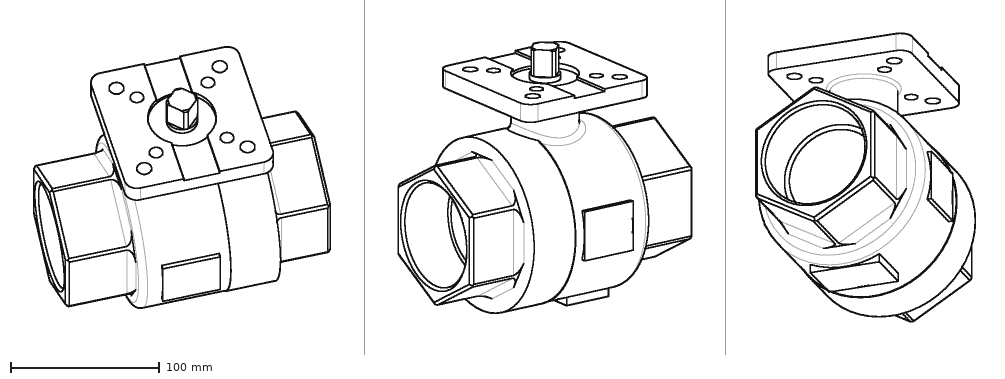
import cadquery as cq
import math


length = 185.0
body_diameter = 121.0
top_z = 117.0

barrel_diameter = 120.0
body_front_y = -45.3
body_back_y = 52.5
collar_front_y = 18.0
cast_radius = 5.0

hex_sides = 6
hex_width = 86.4
hex_corner_width = 98.2
hex_chamfer = 2.2

bore_diameter = 65.0
socket_diameter = 72.2
socket_depth = 37.7
socket_chamfer = 2.0

side_pad_height = 34.8
side_pad_front_y = -29.6
side_pad_back_y = 10.5
bottom_pad_width = 50.0
bottom_pad_front_y = -35.0
bottom_pad_back_y = 0.0

neck_diameter = 46.0
neck_top_radius = 2.2
flange_width = 103.5
flange_corner_radius = 8.5
flange_thickness = 12.5
flange_top_z = 97.9
flange_bottom_z = flange_top_z - flange_thickness
slot_width = 25.0
slot_depth = 1.8
recess_diameter = neck_diameter
recess_depth = 3.7

bolt_patterns = [(72.2, 10.0), (49.5, 9.0)]

stem_diameter = 21.0
stem_square = 17.0
stem_chamfer_width = 1.3
stem_chamfer_height = 0.7


def y_cylinder(diameter, front_y, back_y):
    """Cylinder along the flow axis."""
    return cq.Workplane("XZ", origin=(0, front_y, 0)).circle(diameter / 2).extrude(front_y - back_y)


def z_cylinder(diameter, bottom_z, height):
    """Cylinder along the stem axis."""
    return cq.Workplane("XY", origin=(0, 0, bottom_z)).circle(diameter / 2).extrude(height)


def block(x_range, y_range, z_range):
    """Box between the given limits."""
    lows, highs = zip(x_range, y_range, z_range)
    sizes = [high - low for low, high in zip(lows, highs)]
    return cq.Workplane("XY").box(*sizes, centered=False).translate(lows)


def flared_slab(base_y, end_y):
    """Two parallel hexagon flats, chamfered at the end and flared into the body at the base."""
    out = math.copysign(1, end_y)
    half = hex_width / 2
    flare_half = half + cast_radius
    flare_y = base_y + out * cast_radius
    arc_step = cast_radius * (1 - math.sqrt(0.5))
    return (
        cq.Workplane("XY")
        .moveTo(-flare_half, 0)
        .lineTo(-flare_half, base_y)
        .threePointArc((-half - arc_step, base_y + out * arc_step), (-half, flare_y))
        .lineTo(-half, end_y - out * hex_chamfer)
        .lineTo(-half + hex_chamfer, end_y)
        .lineTo(half - hex_chamfer, end_y)
        .lineTo(half, end_y - out * hex_chamfer)
        .lineTo(half, flare_y)
        .threePointArc((half + arc_step, base_y + out * arc_step), (flare_half, base_y))
        .lineTo(flare_half, 0)
        .close()
        .extrude(body_diameter / 2, both=True)
    )


def hex_end(base_y, end_y):
    """Hexagonal pipe end with two upright flats and its six corners cut flat."""
    slab = flared_slab(base_y, end_y)
    solid = slab
    for turn in (1, 2):
        angle = turn * 360 / hex_sides
        solid = solid.intersect(slab.rotate((0, 0, 0), (0, 1, 0), angle))
    corner_trim = (
        cq.Workplane("XZ")
        .polygon(hex_sides, hex_corner_width, circumscribed=True)
        .extrude(length, both=True)
        .rotate((0, 0, 0), (0, 1, 0), 180 / hex_sides)
    )
    return solid.intersect(corner_trim)


def make_body():
    """Barrel with collar, neck and pads; the neck is blended into the barrel."""
    barrel = y_cylinder(barrel_diameter, body_front_y, body_back_y).faces("<Y").edges().fillet(cast_radius)
    neck = z_cylinder(neck_diameter, 0, flange_bottom_z)
    body = barrel.union(neck)
    half_neck = neck_diameter / 2
    joint = cq.selectors.BoxSelector(
        (-half_neck, -half_neck, half_neck),
        (half_neck, half_neck, barrel_diameter / 2),
    )
    body = body.edges(joint).fillet(cast_radius)
    body = body.union(y_cylinder(body_diameter, collar_front_y, body_back_y))

    reach = body_diameter / 2
    side_pads = block(
        (-reach, reach),
        (side_pad_front_y, side_pad_back_y),
        (-side_pad_height / 2, side_pad_height / 2),
    )
    bottom_pad = block(
        (-bottom_pad_width / 2, bottom_pad_width / 2),
        (bottom_pad_front_y, bottom_pad_back_y),
        (-reach, 0),
    )
    return body.union(side_pads).union(bottom_pad)


def make_neck_blend():
    """Concave ring that blends the neck into the underside of the flange."""
    blend_bottom_z = flange_bottom_z - neck_top_radius
    outer_diameter = neck_diameter + 2 * neck_top_radius
    disc = z_cylinder(outer_diameter, blend_bottom_z, neck_top_radius)
    groove = cq.Solid.makeTorus(outer_diameter / 2, neck_top_radius, cq.Vector(0, 0, blend_bottom_z))
    return disc.cut(cq.Workplane(groove))


def make_flange():
    """Square actuator flange with a cross slot, a round recess and two bolt patterns."""
    flange = (
        cq.Workplane("XY", origin=(0, 0, flange_bottom_z))
        .rect(flange_width, flange_width)
        .extrude(flange_thickness)
        .edges("|Z")
        .fillet(flange_corner_radius)
    )
    flange = flange.union(make_neck_blend())
    slot = block(
        (-flange_width / 2, flange_width / 2),
        (-slot_width / 2, slot_width / 2),
        (flange_top_z - slot_depth, flange_top_z),
    )
    recess = z_cylinder(recess_diameter, flange_top_z - recess_depth, recess_depth)
    flange = flange.cut(slot).cut(recess)
    for spacing, diameter in bolt_patterns:
        holes = (
            cq.Workplane("XY", origin=(0, 0, flange_bottom_z))
            .rect(spacing, spacing, forConstruction=True)
            .vertices()
            .circle(diameter / 2)
            .extrude(flange_thickness)
        )
        flange = flange.cut(holes)
    return flange


def make_stem():
    """Round stem ending in a square turned 45 degrees, with its corners cut flat and chamfered."""
    shoulder = z_cylinder(stem_diameter, flange_top_z - recess_depth, recess_depth)
    square_height = top_z - flange_top_z
    square = (
        cq.Workplane("XY", origin=(0, 0, flange_top_z))
        .transformed(rotate=(0, 0, 45))
        .rect(stem_square, stem_square)
        .extrude(square_height)
    )
    corner_trim = (
        cq.Workplane("XY", origin=(0, 0, flange_top_z))
        .rect(stem_diameter, stem_diameter)
        .extrude(square_height)
        .faces(">Z")
        .edges()
        .chamfer(stem_chamfer_height, stem_chamfer_width)
    )
    return shoulder.union(square.intersect(corner_trim))


def make_bore():
    """Through bore with a chamfered socket at each end."""
    half = length / 2
    profile = [
        (0, -half),
        (socket_diameter / 2 + socket_chamfer, -half),
        (socket_diameter / 2, -half + socket_chamfer),
        (socket_diameter / 2, -half + socket_depth),
        (bore_diameter / 2, -half + socket_depth),
        (bore_diameter / 2, half - socket_depth),
        (socket_diameter / 2, half - socket_depth),
        (socket_diameter / 2, half - socket_chamfer),
        (socket_diameter / 2 + socket_chamfer, half),
        (0, half),
    ]
    return cq.Workplane("XY").polyline(profile).close().revolve(360, (0, 0), (0, 1))


result = (
    make_body()
    .union(hex_end(body_front_y, -length / 2))
    .union(hex_end(body_back_y, length / 2))
    .union(make_flange())
    .union(make_stem())
    .cut(make_bore())
)